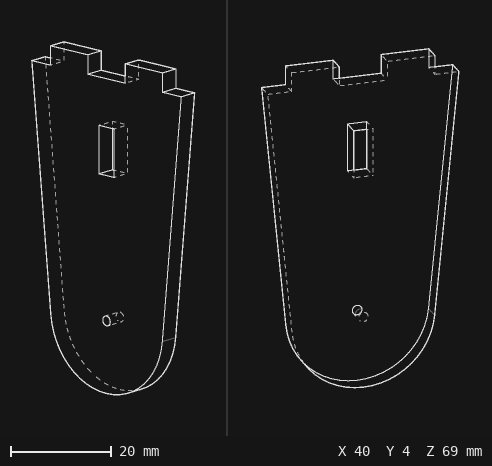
import cadquery as cq
import math

thickness = 4.0
end_radius = 15.0
shoulder_width = 40.0
shoulder_height = 50.0

tab_width = 10.0
tab_height = 4.0
tab_spacing = 20.0

pivot_diameter = 2.0
slot_width = 4.0
slot_height = 10.0
slot_bottom = 30.0


def box_on_centre(width, height, centre_x, bottom_z):
    """Block of full plate thickness, centred on the mid-plane Y = 0."""
    block = cq.Workplane("XY").box(width, thickness, height, centered=(True, True, False))
    return block.translate((centre_x, 0, bottom_z))


def tapered_plate():
    """Plate whose straight sides run tangentially into the rounded end."""
    half_width = shoulder_width / 2
    corner_distance = math.hypot(half_width, shoulder_height)
    corner_angle = math.atan2(shoulder_height, half_width)
    tangent_angle = corner_angle - math.acos(end_radius / corner_distance)
    tangent_x = end_radius * math.cos(tangent_angle)
    tangent_z = end_radius * math.sin(tangent_angle)
    return (
        cq.Workplane("XZ")
        .moveTo(-half_width, shoulder_height)
        .lineTo(-tangent_x, tangent_z)
        .threePointArc((0, -end_radius), (tangent_x, tangent_z))
        .lineTo(half_width, shoulder_height)
        .close()
        .extrude(thickness / 2, both=True)
    )


def pivot_hole():
    return cq.Workplane("XZ").circle(pivot_diameter / 2).extrude(thickness, both=True)


def slot():
    return box_on_centre(slot_width, slot_height, 0, slot_bottom)


result = tapered_plate()
for side in (-1, 1):
    tab = box_on_centre(tab_width, tab_height, side * tab_spacing / 2, shoulder_height)
    result = result.union(tab)
result = result.cut(slot()).cut(pivot_hole())